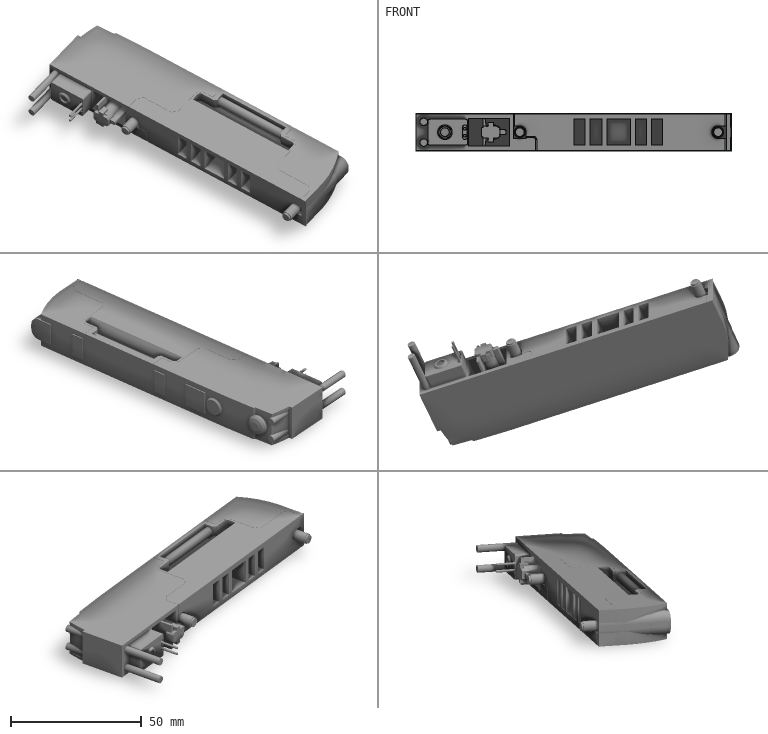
import cadquery as cq

LENGTH = 120.8
THICKNESS = 14.3
HALF_THICKNESS = THICKNESS / 2
BODY_TOP = 28.3
EMBED = 0.6
OVERRUN = 1.2

SHOULDER_Y = 18.5
NOSE_FOOT_X = 1.5
NOSE_MIDDLE = (2.2, 23.0)
NOSE_TIP = (3.1, 26.8)
NOSE_LEDGE = (10.9, 27.2)
NOSE_STEP = (11.4, 27.9)
NOSE_END_X = 25.4
NOSE_RECESS_DEPTH = 0.2
NOSE_RECESS_HALF_WIDTH = 6.0

CAP_TOP_X = 115.8
CAP_MIDDLE = (119.1, 20.0)
CAP_FOOT = (120.4, 7.2)
LIP_HEIGHT = 0.2
RIB_START_X = 110.9
RIB_END_X = 120.3
RIB_TOP = 27.2
RIB_HALF_WIDTH = 4.7
RIB_FILLET = 3.6
RIB_FOOT_END_X = 120.5
RIB_FOOT_TOP = 20.3

PADS = [(34.8, 44.2), (55.0, 59.5), (95.3, 100.0)]
PAD_TOP = BODY_TOP + 0.4
END_PAD_INSET = 0.1

BUTTON_BASE_Y = 26.6
DOME_X = 9.5
DOME_PROFILE = [(4.1, BUTTON_BASE_Y), (4.1, 28.0), (3.4, 28.9), (1.8, 29.4)]
CONE_X = 30.5
CONE_PROFILE = [(3.9, BUTTON_BASE_Y), (3.9, BODY_TOP), (3.3, 29.0)]

SEAM_WIDTH = 0.1
SEAM_DEPTH = 0.1
SEAM_CORNER = 1.9
SEAM_LEG_TOP = 7.2
SEAM_NECK_Y = 22.8
SEAM_FOOT_X = (37.3, 118.7)
SEAM_WAIST_X = (54.0, 100.9)
SEAM_NECK_X = (60.5, 94.6)
FRONT_SEAM_WIDTH = 0.5
FRONT_SEAM_LEDGE_Z = -2.0
FRONT_SEAM_LOWER_X = 45.8
FRONT_SEAM_FILLET = 1.0

POCKET_X = (55.0, 99.9)
POCKET_Y = (17.4, 21.7)
POCKET_CORNER = 1.2
RAMP_FOOT_Y = 20.3
SHELF_X = (62.0, 93.4)
SHELF_Z = 2.8
SHELF_CHAMFER = 1.0
ROLLER_X = (62.6, 92.3)
ROLLER_Y = (22.8, 26.6)
WINDOW_FLOOR_Z = 1.2
ROLLER_CENTRE_Z = 4.3

PORTS = [(60.4, 64.6), (66.7, 71.2), (73.1, 82.1), (84.1, 88.2), (90.2, 94.3)]
PORT_HALF_HEIGHT = 5.0
PORT_DEPTH = 12.1

PIN_X, PIN_Z, PIN_RADIUS = 3.0, 4.0, 1.5
PIN_BOTTOM, PIN_TOP = -16.1, 27.5

BLOCK_X = (4.6, 19.8)
BLOCK_HALF_HEIGHT = 5.0
BLOCK_BOTTOM = -5.5
BLOCK_FILLET = 0.7
BOSS_X, BOSS_BASE_RADIUS, BOSS_TIP_RADIUS, BOSS_BORE_RADIUS = 11.1, 2.8, 2.3, 1.7
BOSS_BOTTOM = -6.3
CONTACT_X, CONTACT_Z, CONTACT_RADIUS, CONTACT_BOTTOM = 18.7, 1.3, 0.5, -12.8
CONTACT_SLOT_WIDTH, CONTACT_SLOT_LENGTH, CONTACT_SLOT_DEPTH = 1.7, 5.5, 0.6

WELL_X = (20.0, 35.9)
WELL_HALF_HEIGHT = 5.3
WELL_DEPTH = 9.7
PLUG_STEM_BOTTOM = -5.1
PLUG_HEAD_TOP = -2.9
PLUG_HEAD_BOTTOM = -6.3
PLUG_X = (25.1, 32.1)
PLUG_HALF_HEIGHT = 2.3
PLUG_CHAMFER = 0.7
EAR_X = (27.7, 29.7)
EAR_HALF_HEIGHT = 3.7
STEM_X, STEM_RADIUS = 29.2, 2.9
TONGUE_END_X = 34.4
TONGUE_HALF_HEIGHT = 1.0
WEDGE_X = (25.6, 27.3)
WEDGE_SHOULDER_X = 26.5

SCREWS_X = (39.7, 115.6)
SCREW_RADIUS, SCREW_TIP_RADIUS = 2.0, 1.7
SCREW_SHOULDER, SCREW_BOTTOM = -5.2, -5.9
SCREW_CLEARANCE = 2.4
SCREW_RECESS_DEPTH = 1.8


def block(x_span, y_span, z_span):
    """Axis-aligned box given by its extents."""
    size = [span[1] - span[0] for span in (x_span, y_span, z_span)]
    corner = (x_span[0], y_span[0], z_span[0])
    return cq.Workplane("XY").box(*size, centered=False).translate(corner)


def mirrored_block(x_span, y_span, half_height):
    """Box centred on the mid-plane Z = 0."""
    return block(x_span, y_span, (-half_height, half_height))


def turned(x, z, profile):
    """Solid of revolution about a line parallel to Y; profile lists (radius, y)."""
    points = [(0, profile[0][1])] + profile + [(0, profile[-1][1])]
    solid = cq.Workplane("XY").polyline(points).close().revolve(360, (0, 0, 0), (0, 1, 0))
    return solid.translate((x, 0, z))


def rod(x, z, radius, y_start, y_end):
    return turned(x, z, [(radius, y_start), (radius, y_end)])


def body_slab(half_height):
    """Side outline of the housing, extruded evenly about the mid-plane."""
    outline = (
        cq.Workplane("XY", origin=(0, 0, -half_height))
        .moveTo(0, 0)
        .lineTo(0, SHOULDER_Y)
        .lineTo(NOSE_FOOT_X, SHOULDER_Y)
        .threePointArc(NOSE_MIDDLE, NOSE_TIP)
        .lineTo(*NOSE_LEDGE)
        .lineTo(*NOSE_STEP)
        .lineTo(NOSE_END_X, BODY_TOP)
        .lineTo(CAP_TOP_X, BODY_TOP)
        .threePointArc(CAP_MIDDLE, CAP_FOOT)
        .lineTo(CAP_FOOT[0], LIP_HEIGHT)
        .lineTo(LENGTH, LIP_HEIGHT)
        .lineTo(LENGTH, 0)
        .close()
    )
    return outline.extrude(2 * half_height)


def rounded_rib(end_x, y_span, half_width):
    """Length of the central rib in the end cap, with its outer corners rounded."""
    rib = mirrored_block((RIB_START_X, end_x), y_span, half_width)
    return rib.edges("|Y and >X").fillet(RIB_FILLET)


def housing():
    body = body_slab(HALF_THICKNESS)
    nose = mirrored_block((-OVERRUN, NOSE_LEDGE[0]), (SHOULDER_Y, BODY_TOP), NOSE_RECESS_HALF_WIDTH)
    recessed = body_slab(NOSE_RECESS_HALF_WIDTH).translate((NOSE_RECESS_DEPTH, 0, 0))
    body = body.cut(nose.cut(recessed))
    for span in PADS:
        body = body.union(mirrored_block(span, (RIB_TOP, PAD_TOP), RIB_HALF_WIDTH))
    foot = rounded_rib(RIB_FOOT_END_X, (0, RIB_FOOT_TOP), RIB_HALF_WIDTH)
    rib = rounded_rib(RIB_END_X, (0, RIB_TOP), RIB_HALF_WIDTH)
    end_pad = rounded_rib(RIB_END_X, (RIB_TOP, PAD_TOP), RIB_HALF_WIDTH - END_PAD_INSET)
    return body.union(foot).union(rib).union(end_pad)


def buttons():
    return turned(DOME_X, 0, DOME_PROFILE).union(turned(CONE_X, 0, CONE_PROFILE))


def seam_ring(outline, width, depth):
    """Groove just inside a closed outline, cut from its plane downwards."""
    outer = outline.extrude(-depth)
    inner = outline.wires().toPending().offset2D(-width).extrude(-depth)
    return outer.cut(inner)


def top_seam():
    c = SEAM_CORNER

    def flank(foot, waist, neck, inward):
        return [
            (foot, -OVERRUN),
            (foot, SEAM_LEG_TOP - c),
            (foot + inward * c, SEAM_LEG_TOP),
            (waist - inward * c, SEAM_LEG_TOP),
            (waist, SEAM_LEG_TOP + c),
            (waist, SEAM_NECK_Y - c),
            (waist + inward * c, SEAM_NECK_Y),
            (neck, SEAM_NECK_Y),
            (neck, BODY_TOP + OVERRUN),
        ]

    left = flank(SEAM_FOOT_X[0], SEAM_WAIST_X[0], SEAM_NECK_X[0], 1)
    right = flank(SEAM_FOOT_X[1], SEAM_WAIST_X[1], SEAM_NECK_X[1], -1)
    plane = cq.Workplane("XY", origin=(0, 0, HALF_THICKNESS))
    outline = plane.polyline(left + right[::-1]).close()
    return seam_ring(outline, SEAM_WIDTH, SEAM_DEPTH)


def front_seam():
    start, end = SEAM_FOOT_X
    beyond = HALF_THICKNESS + OVERRUN
    r = FRONT_SEAM_FILLET
    outline = (
        cq.Workplane("XZ")
        .moveTo(start, beyond)
        .lineTo(start, FRONT_SEAM_LEDGE_Z)
        .lineTo(FRONT_SEAM_LOWER_X - r, FRONT_SEAM_LEDGE_Z)
        .radiusArc((FRONT_SEAM_LOWER_X, FRONT_SEAM_LEDGE_Z - r), r)
        .lineTo(FRONT_SEAM_LOWER_X, -beyond)
        .lineTo(end, -beyond)
        .lineTo(end, beyond)
        .close()
    )
    return seam_ring(outline, FRONT_SEAM_WIDTH, SEAM_DEPTH)


def roller_pocket():
    above = HALF_THICKNESS + OVERRUN
    ramp = (
        cq.Workplane("YZ", origin=(POCKET_X[0], 0, 0))
        .polyline([
            (POCKET_Y[0], above),
            (POCKET_Y[0], HALF_THICKNESS),
            (RAMP_FOOT_Y, SHELF_Z),
            (POCKET_Y[1], SHELF_Z),
            (POCKET_Y[1], above),
        ])
        .close()
        .extrude(POCKET_X[1] - POCKET_X[0])
    )
    ramp = ramp.edges("|Z and >Y").fillet(POCKET_CORNER)
    shelf = block(SHELF_X, (RAMP_FOOT_Y, ROLLER_Y[0]), (SHELF_Z, above))
    shelf = shelf.edges("|Z and >Y").chamfer(SHELF_CHAMFER)
    window = block(ROLLER_X, ROLLER_Y, (WINDOW_FLOOR_Z, above))
    return ramp.union(shelf).union(window)


def roller():
    centre_y = sum(ROLLER_Y) / 2
    radius = (ROLLER_Y[1] - ROLLER_Y[0]) / 2
    return (
        cq.Workplane("YZ", origin=(ROLLER_X[0], 0, 0))
        .center(centre_y, ROLLER_CENTRE_Z)
        .circle(radius)
        .extrude(ROLLER_X[1] - ROLLER_X[0])
    )


def mounting_face_openings():
    openings = mirrored_block(WELL_X, (0, WELL_DEPTH), WELL_HALF_HEIGHT)
    for span in PORTS:
        openings = openings.union(mirrored_block(span, (0, PORT_DEPTH), PORT_HALF_HEIGHT))
    inner, outer = SCREWS_X
    depth = (0, SCREW_RECESS_DEPTH)
    inner_recess = mirrored_block((SEAM_FOOT_X[0], inner), depth, SCREW_CLEARANCE)
    inner_corner = block((inner, inner + SCREW_CLEARANCE), depth, (-SCREW_CLEARANCE, 0))
    openings = openings.union(inner_recess).union(inner_corner)
    openings = openings.union(rod(inner, 0, SCREW_CLEARANCE, *depth))
    openings = openings.union(mirrored_block((outer, SEAM_FOOT_X[1]), depth, SCREW_CLEARANCE))
    return openings.union(rod(outer, 0, SCREW_CLEARANCE, *depth))


def guide_pins():
    upper = rod(PIN_X, PIN_Z, PIN_RADIUS, PIN_BOTTOM, PIN_TOP)
    return upper.union(rod(PIN_X, -PIN_Z, PIN_RADIUS, PIN_BOTTOM, PIN_TOP))


def screws():
    profile = [
        (SCREW_TIP_RADIUS, SCREW_BOTTOM),
        (SCREW_TIP_RADIUS, SCREW_SHOULDER),
        (SCREW_RADIUS, SCREW_SHOULDER),
        (SCREW_RADIUS, SCREW_RECESS_DEPTH + EMBED),
    ]
    inner, outer = SCREWS_X
    return turned(inner, 0, profile).union(turned(outer, 0, profile))


def solenoid_block():
    solid = mirrored_block(BLOCK_X, (BLOCK_BOTTOM, EMBED), BLOCK_HALF_HEIGHT)
    solid = solid.edges("|Y").fillet(BLOCK_FILLET)
    boss = turned(BOSS_X, 0, [(BOSS_TIP_RADIUS, BOSS_BOTTOM), (BOSS_BASE_RADIUS, BLOCK_BOTTOM)])
    solid = solid.union(boss).cut(rod(BOSS_X, 0, BOSS_BORE_RADIUS, BOSS_BOTTOM, BLOCK_BOTTOM))
    slot = (
        cq.Workplane("XZ", origin=(CONTACT_X, BLOCK_BOTTOM, 0))
        .slot2D(CONTACT_SLOT_LENGTH, CONTACT_SLOT_WIDTH, 90)
        .extrude(-CONTACT_SLOT_DEPTH)
    )
    solid = solid.cut(slot)
    for z in (-CONTACT_Z, CONTACT_Z):
        solid = solid.union(rod(CONTACT_X, z, CONTACT_RADIUS, CONTACT_BOTTOM, BLOCK_BOTTOM + 2 * EMBED))
    return solid


def plug():
    stem = (PLUG_STEM_BOTTOM, WELL_DEPTH + EMBED)
    head = (PLUG_HEAD_BOTTOM, PLUG_HEAD_TOP)
    solid = mirrored_block(PLUG_X, head, PLUG_HALF_HEIGHT).edges("|Y").chamfer(PLUG_CHAMFER)
    solid = solid.union(rod(STEM_X, 0, STEM_RADIUS, *stem))
    tongue = mirrored_block((STEM_X, TONGUE_END_X), stem, TONGUE_HALF_HEIGHT)
    solid = solid.union(tongue.edges("|Y and >X").fillet(TONGUE_HALF_HEIGHT / 2))
    solid = solid.union(mirrored_block(EAR_X, head, EAR_HALF_HEIGHT))
    wedge = (
        cq.Workplane("XZ", origin=(0, stem[1], 0))
        .polyline([
            (WEDGE_X[0], -WELL_HALF_HEIGHT),
            (WEDGE_SHOULDER_X, -WELL_HALF_HEIGHT),
            (WEDGE_X[1], 0),
            (WEDGE_SHOULDER_X, WELL_HALF_HEIGHT),
            (WEDGE_X[0], WELL_HALF_HEIGHT),
        ])
        .close()
        .extrude(stem[1] - stem[0])
    )
    return solid.union(wedge)


result = (
    housing()
    .cut(top_seam())
    .cut(front_seam())
    .cut(roller_pocket())
    .cut(mounting_face_openings())
    .union(roller())
    .union(buttons())
    .union(guide_pins())
    .union(screws())
    .union(solenoid_block())
    .union(plug())
)